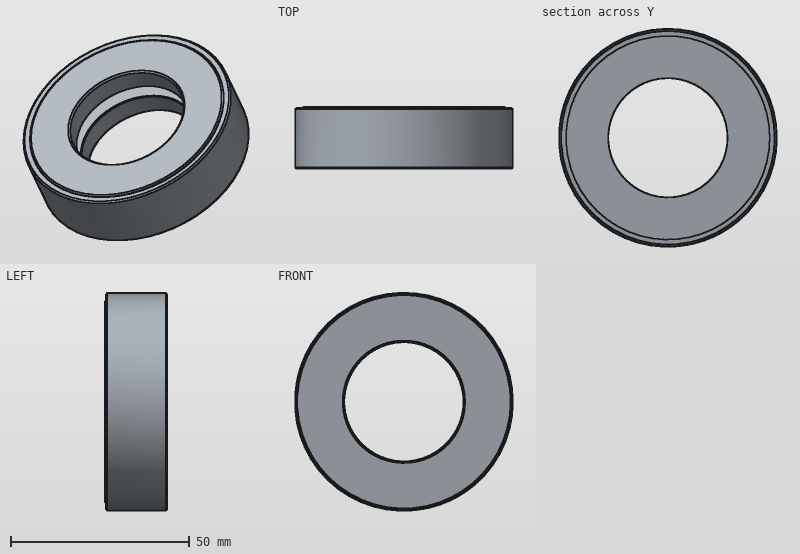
import cadquery as cq

overall_length = 17.4625
bore_diameter = 33.34
bore_chamfer = 0.5

front_washer_diameter = 59.75
front_washer_thickness = 6.7
inner_edge_chamfer = 0.25

rear_washer_diameter = 57.05
rear_washer_thickness = 6.35
rear_washer_chamfer = 0.5
rear_washer_protrusion = 0.32

shell_outer_diameter = 61.12
shell_chamfer_width = 0.51
shell_chamfer_depth = 0.42
shell_length = overall_length - rear_washer_protrusion
shell_wall = (shell_outer_diameter - front_washer_diameter) / 2

smallest_circle = cq.selectors.RadiusNthSelector(0)
largest_circle = cq.selectors.RadiusNthSelector(-1)


def disc(diameter, start_y, length):
    """Solid cylinder along +Y, starting at start_y."""
    plane = cq.Workplane("XZ", origin=(0, start_y, 0))
    return plane.circle(diameter / 2).extrude(-length)


def washer(diameter, start_y, thickness):
    """Plain bearing washer with the common bore."""
    bore = disc(bore_diameter, start_y, thickness)
    return disc(diameter, start_y, thickness).cut(bore)


def make_front_washer():
    """Washer flush with the open end of the shell, both bore edges chamfered."""
    body = washer(front_washer_diameter, 0, front_washer_thickness)
    body = body.faces("<Y").edges(smallest_circle).chamfer(bore_chamfer)
    return body.faces(">Y").edges(smallest_circle).chamfer(inner_edge_chamfer)


def make_rear_washer():
    """Washer passing through the shell flange, both edges of its rear face chamfered."""
    start_y = overall_length - rear_washer_thickness
    body = washer(rear_washer_diameter, start_y, rear_washer_thickness)
    body = body.faces(">Y").edges(largest_circle).chamfer(rear_washer_chamfer)
    return body.faces(">Y").edges(smallest_circle).chamfer(bore_chamfer)


def make_shell():
    """Cup with chamfered outer rims and an inward flange around the rear washer."""
    outer_profile = (
        cq.Workplane("XY")
        .moveTo(0, 0)
        .lineTo(shell_outer_diameter / 2 - shell_chamfer_width, 0)
        .lineTo(shell_outer_diameter / 2, shell_chamfer_depth)
        .lineTo(shell_outer_diameter / 2, shell_length - shell_chamfer_depth)
        .lineTo(shell_outer_diameter / 2 - shell_chamfer_width, shell_length)
        .lineTo(0, shell_length)
        .close()
    )
    body = outer_profile.revolve(360, (0, 0, 0), (0, 1, 0))
    cavity = disc(front_washer_diameter, 0, shell_length - shell_wall)
    flange_hole = disc(rear_washer_diameter, 0, shell_length)
    return body.cut(cavity).cut(flange_hole)


front_washer = make_front_washer()
rear_washer = make_rear_washer()
shell = make_shell()

result = cq.Compound.makeCompound([front_washer.val(), rear_washer.val(), shell.val()])